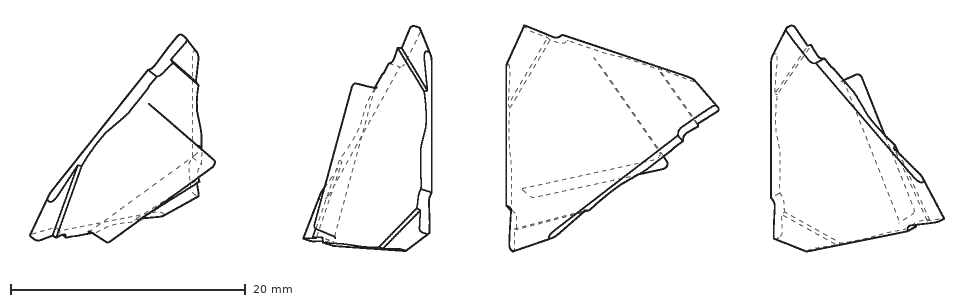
import cadquery as cq
import math

CORNERS = 3
CORNER_ANGLE = 360 / CORNERS

TOTAL_HEIGHT = 3.5
PLATE_TOP = 1.12
BLANK_TOP = 1.4
SIDE_OFFSET = 7.10

NOTCH_START = (SIDE_OFFSET, -6.21)
NOTCH_LIP = (6.82, -6.42)
NOTCH_MID = (6.69, -6.63)
NOTCH_END = (6.65, -6.96)
CUTTING_TIP = (6.855, -10.36)
SIDE_HEEL = (SIDE_OFFSET, 7.83)

NOSE_RADIUS = 0.33
NOSE_REACH = 0.4
RELIEF_NEAR = (6.8, -8.9)
RELIEF_FAR = (2.47, -9.58)
RELIEF_ANGLE = 2.8
RELIEF_REACH = 4.0

GROOVE_NEAR_Y = 6.7
RAKE_OUTER = (-12.0, 1.236, 0.068)
RAKE_INNER = (-8.1, 0.908, 0.068)
BREAKER_CREST = (-8.0, 1.27, 0.072)
GROOVE_FLOOR = (-7.2, 1.13, 0.065)
GROOVE_CREASE = (-6.27, 1.07, 0.048)
SHOULDER = (-5.25, 1.05, 0.0)
GROOVE_END = (-5.0, PLATE_TOP, 0.0)
GROOVE_HALF_LENGTH = 9.0

BOSS_INRADIUS = 4.01
BOSS_CORNER_RADIUS = 0.45
BOSS_DRAFT = 2.2
BOSS_ROOT_RADIUS = 0.48
BOSS_RIM_RADIUS = 0.12


def turned(point, turns):
    """Turn a (y, z) point about the centre by a number of corner steps."""
    angle = math.radians(turns * CORNER_ANGLE)
    y, z = point
    return (
        y * math.cos(angle) - z * math.sin(angle),
        y * math.sin(angle) + z * math.cos(angle),
    )


def at_corner(shape, turns):
    """Copy a shape from the described corner to another one."""
    return shape.rotate((0, 0, 0), (1, 0, 0), turns * CORNER_ANGLE)


def plate_outline(height):
    """Plate outline with its three notches, extruded from the back face."""
    outline = cq.Workplane("YZ").moveTo(*CUTTING_TIP)
    for turns in range(CORNERS):
        outline = outline.lineTo(*turned(NOTCH_END, turns))
        outline = outline.threePointArc(turned(NOTCH_MID, turns), turned(NOTCH_LIP, turns))
        outline = outline.lineTo(*turned(NOTCH_START, turns))
        outline = outline.lineTo(*turned(SIDE_HEEL, turns))
        if turns < CORNERS - 1:
            outline = outline.lineTo(*turned(CUTTING_TIP, turns + 1))
    return outline.close().extrude(height)


def corner_strip():
    """Box over one corner, outward of the chip groove's inner end."""
    outer_z = RAKE_OUTER[0]
    inner_z = GROOVE_END[0]
    return (
        cq.Workplane("XY")
        .box(BLANK_TOP, 2 * GROOVE_HALF_LENGTH, inner_z - outer_z, centered=(False, True, False))
        .translate((0, 0, outer_z))
    )


def groove_section(y):
    """Closed chip groove section at a given Y, open upwards past the stock."""
    def place(station):
        z, near_height, rise = station
        return cq.Vector(near_height + rise * (y - GROOVE_NEAR_Y), y, z)

    above = 2 * BLANK_TOP
    rake_outer = place(RAKE_OUTER)
    rake_inner = place(RAKE_INNER)
    crest = place(BREAKER_CREST)
    crease = place(GROOVE_CREASE)
    shoulder = place(SHOULDER)
    end = place(GROOVE_END)
    above_end = cq.Vector(above, y, end.z)
    above_outer = cq.Vector(above, y, rake_outer.z)
    return cq.Wire.assembleEdges([
        cq.Edge.makeLine(rake_outer, rake_inner),
        cq.Edge.makeLine(rake_inner, crest),
        cq.Edge.makeThreePointArc(crest, place(GROOVE_FLOOR), crease),
        cq.Edge.makeLine(crease, shoulder),
        cq.Edge.makeLine(shoulder, end),
        cq.Edge.makeLine(end, above_end),
        cq.Edge.makeLine(above_end, above_outer),
        cq.Edge.makeLine(above_outer, rake_outer),
    ])


def groove_cutter():
    """Rake face, breaker step and chip groove of one corner."""
    sections = [groove_section(GROOVE_HALF_LENGTH), groove_section(-GROOVE_HALF_LENGTH)]
    return cq.Workplane(cq.Solid.makeLoft(sections, True))


def relief_cutter():
    """Shallow wedge that lifts the back face towards one cutting edge."""
    far = cq.Vector(0, *RELIEF_FAR)
    along = cq.Vector(0, *RELIEF_NEAR) - far
    frame = cq.Plane(origin=far - along, xDir=(1, 0, 0), normal=along)
    lift = RELIEF_REACH * math.tan(math.radians(RELIEF_ANGLE))
    return (
        cq.Workplane(frame)
        .polyline([(0, 0), (lift, RELIEF_REACH), (0, RELIEF_REACH)])
        .close()
        .extrude(3 * along.Length)
    )


def boss():
    """Drafted triangular boss with rounded corners and a rounded rim."""
    apex = (0, 2 * BOSS_INRADIUS)
    return (
        cq.Workplane("YZ", origin=(PLATE_TOP, 0, 0))
        .polyline([turned(apex, turns) for turns in range(CORNERS)])
        .close()
        .extrude(TOTAL_HEIGHT - PLATE_TOP, taper=BOSS_DRAFT)
        .edges("not #X")
        .fillet(BOSS_CORNER_RADIUS)
        .faces(">X").edges()
        .fillet(BOSS_RIM_RADIUS)
    )


def boss_on_plate():
    """Flat plate with the boss standing on it, blended by a root fillet."""
    body = plate_outline(PLATE_TOP).union(boss())
    plate_face = body.faces(">X[-2]").val()
    root_edges = plate_face.innerWires()[0].Edges()
    return body.newObject(root_edges).fillet(BOSS_ROOT_RADIUS)


def round_nose(body, turns):
    """Round both long edges of one cutting nose."""
    tip_y, tip_z = turned(CUTTING_TIP, turns)
    heel_y, heel_z = turned(SIDE_HEEL, turns - 1)
    y = (tip_y + heel_y) / 2
    z = (tip_z + heel_z) / 2
    low = (-NOSE_REACH, y - NOSE_REACH, z - NOSE_REACH)
    high = (PLATE_TOP, y + NOSE_REACH, z + NOSE_REACH)
    return body.edges(cq.selectors.BoxSelector(low, high)).fillet(NOSE_RADIUS)


tall_plate = plate_outline(BLANK_TOP)
result = boss_on_plate()
for turns in range(CORNERS):
    result = result.union(tall_plate.intersect(at_corner(corner_strip(), turns)))
for turns in range(CORNERS):
    result = result.cut(at_corner(groove_cutter(), turns))
    result = result.cut(at_corner(relief_cutter(), turns))
for turns in range(CORNERS):
    result = round_nose(result, turns)